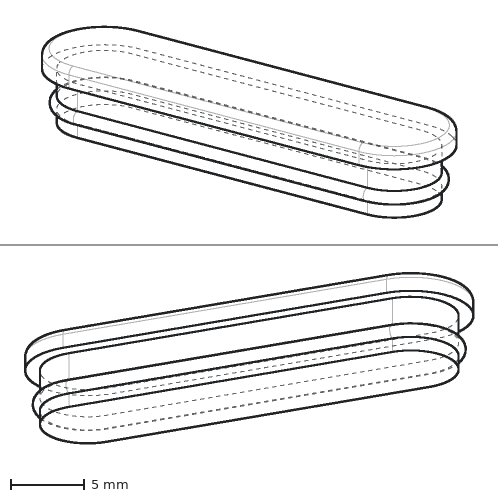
import cadquery as cq
import math

length = 32.5
width = 8.5
height = 5.5
cap_thickness = 1.5
cap_edge_radius = 0.5
cap_overhang = 1.0
bead_radius = 0.5
bead_center_height = 1.5

end_center_x = (length - width) / 2
cap_half_width = width / 2
plug_half_width = cap_half_width - cap_overhang
cap_bottom = height - cap_thickness
edge_arc_rise = cap_edge_radius * math.sin(math.radians(45))


def half_section(plane):
    """Half cross-section, from the center axis outward: plug, round bead and cap with a rounded top edge."""
    edge_center_offset = cap_half_width - cap_edge_radius
    edge_center_height = height - cap_edge_radius
    return (
        cq.Workplane(plane)
        .lineTo(plug_half_width, 0)
        .lineTo(plug_half_width, bead_center_height - bead_radius)
        .threePointArc(
            (plug_half_width + bead_radius, bead_center_height),
            (plug_half_width, bead_center_height + bead_radius),
        )
        .lineTo(plug_half_width, cap_bottom)
        .lineTo(cap_half_width, cap_bottom)
        .lineTo(cap_half_width, edge_center_height)
        .threePointArc(
            (edge_center_offset + edge_arc_rise, edge_center_height + edge_arc_rise),
            (edge_center_offset, height),
        )
        .lineTo(0, height)
        .close()
    )


def make_middle():
    """Straight stretch between the two end-arc centers."""
    half = half_section("YZ").extrude(end_center_x, both=True)
    return half.union(half.mirror("XZ"))


def make_right_end():
    """Half-round end, revolved about its vertical center axis from -Y round to +Y."""
    start_plane = cq.Plane(origin=(end_center_x, 0, 0), xDir=(0, -1, 0), normal=(-1, 0, 0))
    return half_section(start_plane).revolve(180, (0, 0, 0), (0, 1, 0))


right_end = make_right_end()
result = make_middle().union(right_end).union(right_end.mirror("YZ")).clean()